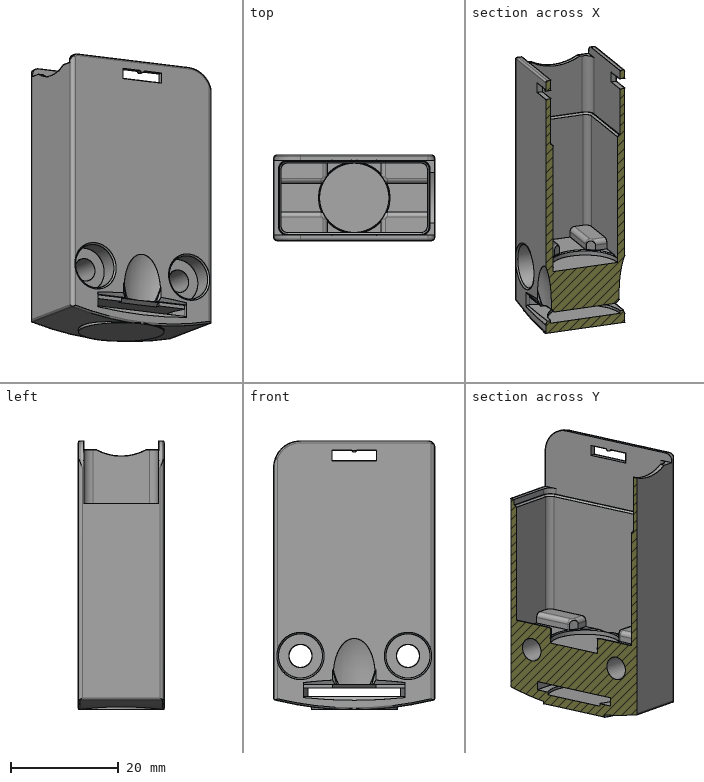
import cadquery as cq
import math

WIDTH = 30.0
DEPTH = 16.0
HEIGHT = 50.0
HALF_W = WIDTH / 2
FRONT_Y = -DEPTH / 2
BOTTOM_BOW = 1.85
LEFT_TOP_RADIUS = 5.0
RIGHT_TOP_RADIUS = 1.25
BOTTOM_CORNER_RADIUS = 0.4
SIDE_EDGE_RADIUS = 0.75
FACE_EDGE_RADIUS = 0.35

PAD_RADIUS = DEPTH / 2
PAD_TOP = 1.0

UPPER_LENGTH = 28.2
UPPER_DEPTH = 13.9
UPPER_CORNER_RADIUS = 1.65
STEP_Z = 37.3
STEP_LEDGE = 0.15
STEP_CHAMFER = 0.35
STEP_INSET = STEP_LEDGE + STEP_CHAMFER
LOWER_LENGTH = UPPER_LENGTH - 2 * STEP_INSET
LOWER_DEPTH = UPPER_DEPTH - 2 * STEP_INSET
LOWER_CORNER_RADIUS = UPPER_CORNER_RADIUS - STEP_INSET

LEFT_WALL_Z = 38.4
RIGHT_WALL_Z = 48.4
NOTCH_HALF_WIDTH = 4.7
NOTCH_DEPTH = 1.2

SCREW_X = 10.0
SCREW_Z = 10.0
SCREW_DIAMETER = 4.25
BORE_DIAMETER = 8.2
BORE_DEPTH = 4.0
BORE_RIM_CHAMFER = 0.3
BORE_COVER = 1.0

BLOCK_TOP = SCREW_Z + BORE_DIAMETER / 2 + BORE_COVER
FLOOR_Z = SCREW_Z + SCREW_DIAMETER / 2 + BORE_COVER
BLOCK_INNER_X = 4.95
BLOCK_INNER_Y = 2.65
BLOCK_EDGE_RADIUS = 0.9
BLOCK_CORNER_RADIUS = 1.25
POCKET_RADIUS = 6.45
POCKET_RIM_CHAMFER = 0.2
POCKET_DEPTH = 1.0

WINDOW_WIDTH = 8.2
WINDOW_HEIGHT = 1.9
WINDOW_TOP = 48.25
BUMP_HALF_WIDTH = 0.5
BUMP_HEIGHT = 0.35

SLOT_BOTTOM = 2.5
SLOT_TOP = 4.0
SLOT_HALF_WIDTH = 8.6
MOUTH_HALF_WIDTH = 9.45
MOUTH_TOP = 4.7
MOUTH_DEPTH = 0.75
TAPER_END_DEPTH = 4.0
LIP_DEPTH = 0.3
LIP_BOTTOM_END = 2.25
LIP_BOTTOM_MID = 1.75
LIP_TOP_END = 5.05
LIP_TOP_MID = 5.6

SLOT_RECESS_RADIUS = 7.0
SLOT_RECESS_DEPTH = 0.5

SCOOP_TOP = 13.25
SCOOP_HALF_WIDTH = 3.9
SCOOP_DEPTH = 1.1
SCOOP_SHOULDER_Z = 7.5
SCOOP_SHOULDER_HALF_WIDTH = 3.85
SCOOP_NECK_Z = 10.25
SCOOP_NECK_HALF_WIDTH = 3.25
FLARE_HALF_WIDTH = 4.0
FLARE_INNER_HALF_WIDTH = 3.1
FLARE_DEPTH = 0.65
FLARE_TOP = 7.35


def box(x0, x1, y0, y1, z0, z1):
    """Axis-aligned box between two opposite corners."""
    return cq.Workplane("XY").box(x1 - x0, y1 - y0, z1 - z0, centered=False).translate((x0, y0, z0))


def rounded_prism(length, depth, radius, z0, z1):
    return box(-length / 2, length / 2, -depth / 2, depth / 2, z0, z1).edges("|Z").fillet(radius)


def both_faces(cutter):
    """The front cutter together with its mirror image on the back face."""
    return cutter.union(cutter.mirror("XZ"))


def outer_body():
    outline = (
        cq.Workplane("XZ", origin=(0, -FRONT_Y, 0))
        .moveTo(-HALF_W, BOTTOM_BOW)
        .threePointArc((0, 0), (HALF_W, BOTTOM_BOW))
        .lineTo(HALF_W, HEIGHT)
        .lineTo(-HALF_W, HEIGHT)
        .close()
    )
    body = outline.extrude(DEPTH)
    body = body.edges("|Y and >Z and <X").fillet(LEFT_TOP_RADIUS)
    body = body.edges("|Y and >Z and >X").fillet(RIGHT_TOP_RADIUS)
    body = body.edges("|Y").edges("<Z").fillet(BOTTOM_CORNER_RADIUS)
    body = body.faces("<Y or >Y").edges().fillet(FACE_EDGE_RADIUS)
    body = body.intersect(rounded_prism(WIDTH, DEPTH, SIDE_EDGE_RADIUS, 0, HEIGHT))
    pad = cq.Workplane("XY").circle(PAD_RADIUS).extrude(PAD_TOP)
    return body.union(pad)


def corner_blocks():
    block = box(BLOCK_INNER_X, HALF_W, BLOCK_INNER_Y, DEPTH / 2, 0, BLOCK_TOP)
    block = block.edges("|Z and <X and <Y").fillet(BLOCK_CORNER_RADIUS)
    block = block.faces(">Z").edges("<X or <Y or (not(|X or |Y))").fillet(BLOCK_EDGE_RADIUS)
    pair = block.union(block.mirror("YZ"))
    return pair.union(pair.mirror("XZ"))


def cavity():
    upper = rounded_prism(UPPER_LENGTH, UPPER_DEPTH, UPPER_CORNER_RADIUS, STEP_Z, HEIGHT)
    funnel = (
        cq.Workplane("XY", origin=(0, 0, STEP_Z))
        .sketch()
        .rect(LOWER_LENGTH + 2 * STEP_CHAMFER, LOWER_DEPTH + 2 * STEP_CHAMFER)
        .vertices()
        .fillet(LOWER_CORNER_RADIUS + STEP_CHAMFER)
        .finalize()
        .extrude(-STEP_CHAMFER, taper=45)
    )
    lower = rounded_prism(LOWER_LENGTH, LOWER_DEPTH, LOWER_CORNER_RADIUS, FLOOR_Z, STEP_Z)
    lower = lower.cut(corner_blocks())
    pocket = cq.Workplane("XY", origin=(0, 0, FLOOR_Z - POCKET_DEPTH)).circle(POCKET_RADIUS)
    pocket = pocket.extrude(BLOCK_TOP - FLOOR_Z + POCKET_DEPTH)
    rim = cq.Workplane("XY", origin=(0, 0, FLOOR_Z)).circle(POCKET_RADIUS + POCKET_RIM_CHAMFER)
    rim = rim.extrude(-POCKET_RIM_CHAMFER, taper=45)
    inside = rounded_prism(LOWER_LENGTH, LOWER_DEPTH, LOWER_CORNER_RADIUS, 0, STEP_Z)
    return upper.union(funnel).union(lower).union(pocket.union(rim).intersect(inside))


def end_wall_cuts():
    """Open the left end down to its low wall and trim the right end with a round notch."""
    half = UPPER_DEPTH / 2
    left = box(-HALF_W, 0, -half, half, LEFT_WALL_Z, HEIGHT)
    right = box(0, HALF_W, -half, half, RIGHT_WALL_Z, HEIGHT)
    notch = (
        cq.Workplane("YZ")
        .moveTo(-NOTCH_HALF_WIDTH, RIGHT_WALL_Z)
        .threePointArc((0, RIGHT_WALL_Z - NOTCH_DEPTH), (NOTCH_HALF_WIDTH, RIGHT_WALL_Z))
        .close()
        .extrude(HALF_W)
    )
    return left.union(right).union(notch)


def y_cylinder(radius, x, z, y0, length):
    return cq.Workplane("XZ", origin=(x, y0, z)).circle(radius).extrude(-length)


def screw_holes():
    cutters = cq.Workplane("XY")
    for x in (-SCREW_X, SCREW_X):
        hole = y_cylinder(SCREW_DIAMETER / 2, x, SCREW_Z, FRONT_Y, DEPTH)
        bore = y_cylinder(BORE_DIAMETER / 2, x, SCREW_Z, FRONT_Y, BORE_DEPTH)
        rim = cq.Workplane("XZ", origin=(x, FRONT_Y, SCREW_Z)).circle(BORE_DIAMETER / 2 + BORE_RIM_CHAMFER)
        rim = rim.extrude(-BORE_RIM_CHAMFER, taper=45)
        cutters = cutters.union(hole).union(both_faces(bore.union(rim)))
    return cutters


def windows():
    bottom = WINDOW_TOP - WINDOW_HEIGHT
    opening = box(-WINDOW_WIDTH / 2, WINDOW_WIDTH / 2, FRONT_Y, -FRONT_Y, bottom, WINDOW_TOP)
    bump = (
        cq.Workplane("XZ", origin=(0, -FRONT_Y, 0))
        .moveTo(-BUMP_HALF_WIDTH, WINDOW_TOP)
        .threePointArc((0, WINDOW_TOP - BUMP_HEIGHT), (BUMP_HALF_WIDTH, WINDOW_TOP))
        .close()
        .extrude(-FRONT_Y)
    )
    return opening.cut(bump)


def strap_slot():
    taper_y = FRONT_Y + TAPER_END_DEPTH
    mouth_y = FRONT_Y + MOUTH_DEPTH
    half_passage = (
        cq.Workplane("XY", origin=(0, 0, SLOT_BOTTOM))
        .polyline([
            (-MOUTH_HALF_WIDTH, FRONT_Y),
            (MOUTH_HALF_WIDTH, FRONT_Y),
            (MOUTH_HALF_WIDTH, mouth_y),
            (SLOT_HALF_WIDTH, taper_y),
            (SLOT_HALF_WIDTH, 0),
            (-SLOT_HALF_WIDTH, 0),
            (-SLOT_HALF_WIDTH, taper_y),
            (-MOUTH_HALF_WIDTH, mouth_y),
        ])
        .close()
        .extrude(SLOT_TOP - SLOT_BOTTOM)
    )
    mouth = box(-MOUTH_HALF_WIDTH, MOUTH_HALF_WIDTH, FRONT_Y, mouth_y, SLOT_BOTTOM, MOUTH_TOP)
    lip = (
        cq.Workplane("XZ", origin=(0, FRONT_Y, 0))
        .moveTo(-MOUTH_HALF_WIDTH, LIP_BOTTOM_END)
        .threePointArc((0, LIP_BOTTOM_MID), (MOUTH_HALF_WIDTH, LIP_BOTTOM_END))
        .lineTo(MOUTH_HALF_WIDTH, LIP_TOP_END)
        .threePointArc((0, LIP_TOP_MID), (-MOUTH_HALF_WIDTH, LIP_TOP_END))
        .close()
        .workplane(offset=-LIP_DEPTH)
        .moveTo(-MOUTH_HALF_WIDTH, SLOT_BOTTOM)
        .lineTo(MOUTH_HALF_WIDTH, SLOT_BOTTOM)
        .lineTo(MOUTH_HALF_WIDTH, MOUTH_TOP)
        .lineTo(-MOUTH_HALF_WIDTH, MOUTH_TOP)
        .close()
        .loft(ruled=True)
    )
    recess = cq.Workplane("XY", origin=(0, 0, SLOT_BOTTOM)).circle(SLOT_RECESS_RADIUS)
    recess = recess.extrude(-SLOT_RECESS_DEPTH)
    return both_faces(half_passage.union(mouth).union(lip)).union(recess)


def thumb_scoop():
    radius = (SCOOP_HALF_WIDTH**2 + SCOOP_DEPTH**2) / (2 * SCOOP_DEPTH)
    axis_gap = radius - SCOOP_DEPTH
    shoulder = (math.hypot(axis_gap, SCOOP_SHOULDER_HALF_WIDTH), SCOOP_SHOULDER_Z)
    neck = (math.hypot(axis_gap, SCOOP_NECK_HALF_WIDTH), SCOOP_NECK_Z)
    groove = (
        cq.Workplane("XZ", origin=(0, FRONT_Y - axis_gap, 0))
        .moveTo(0, SLOT_TOP)
        .lineTo(radius, SLOT_TOP)
        .spline([shoulder, neck, (axis_gap, SCOOP_TOP)], includeCurrent=True)
        .lineTo(0, SCOOP_TOP)
        .close()
        .revolve(360, (0, 0, 0), (0, 1, 0))
    )
    foot_y = FRONT_Y + SCOOP_DEPTH
    foot = (
        cq.Workplane("YZ", origin=(-FLARE_HALF_WIDTH, 0, 0))
        .polyline([
            (FRONT_Y, SLOT_TOP),
            (FRONT_Y, MOUTH_TOP),
            (foot_y, MOUTH_TOP),
            (foot_y + MOUTH_TOP - SLOT_TOP, SLOT_TOP),
        ])
        .close()
        .extrude(2 * FLARE_HALF_WIDTH)
    )
    back_y = FRONT_Y + FLARE_DEPTH
    flanks = (
        cq.Workplane("XY", origin=(0, 0, SLOT_TOP))
        .polyline([
            (-FLARE_HALF_WIDTH, FRONT_Y),
            (FLARE_HALF_WIDTH, FRONT_Y),
            (FLARE_INNER_HALF_WIDTH, back_y),
            (-FLARE_INNER_HALF_WIDTH, back_y),
        ])
        .close()
        .extrude(FLARE_TOP - SLOT_TOP)
    )
    wedge = (
        cq.Workplane("YZ", origin=(-FLARE_HALF_WIDTH, 0, 0))
        .polyline([(FRONT_Y, SLOT_TOP), (back_y, SLOT_TOP), (FRONT_Y, FLARE_TOP)])
        .close()
        .extrude(2 * FLARE_HALF_WIDTH)
    )
    return both_faces(groove.union(foot).union(flanks.intersect(wedge)))


result = outer_body()
for feature in (cavity, end_wall_cuts, screw_holes, windows, strap_slot, thumb_scoop):
    result = result.cut(feature())